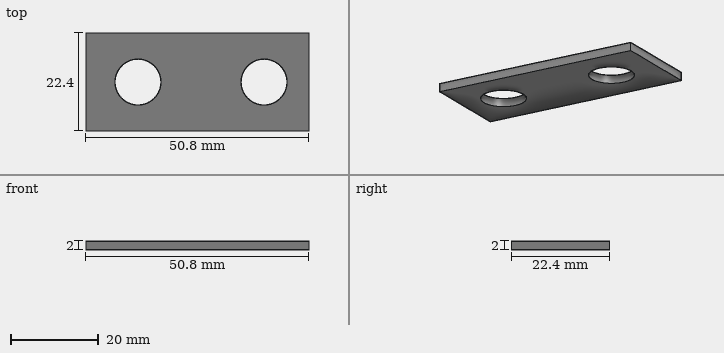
import cadquery as cq

length = 50.8
width = 22.35
thickness = 2.0

hole_diameter = 10.41
hole_spacing = 28.7
end_wall = 5.05

right_hole_x = length / 2 - end_wall - hole_diameter / 2
left_hole_x = right_hole_x - hole_spacing

plate = cq.Workplane("XY").box(length, width, thickness)

result = (
    plate.faces(">Z")
    .workplane()
    .pushPoints([(left_hole_x, 0), (right_hole_x, 0)])
    .hole(hole_diameter)
)